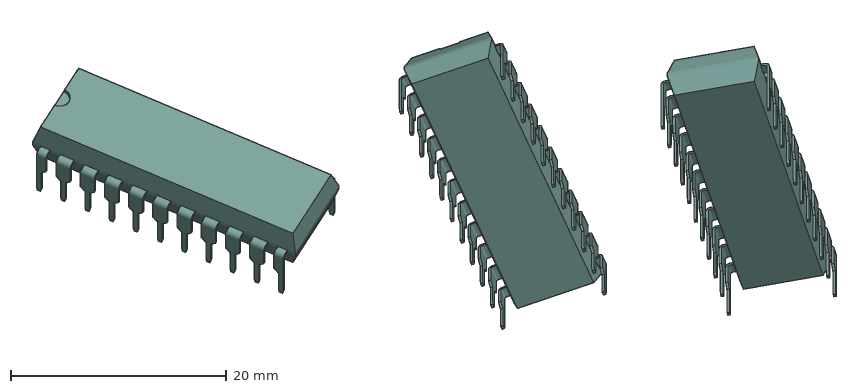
import cadquery as cq

body_length = 27.6
body_width = 8.75
body_height = 4.58
band_height = 0.41
draft_inset = 0.55

notch_radius = 1.0
notch_depth = 0.25
notch_draft = 15.0

leads_per_row = 11
lead_pitch = 2.55
row_span = 10.4
lead_thickness = 0.25
bend_inner_radius = 0.22
shoulder_width = 1.5
shank_width = 0.5
overall_height = 8.0
tip_width = 0.33
tip_length = 0.41
lead_embed = 0.28

body_top = body_height / 2
body_bottom = -body_height / 2
lead_top = lead_thickness / 2
lead_bottom = body_top - overall_height
bend_outer_radius = bend_inner_radius + lead_thickness
shoulder_half = shoulder_width / 2
shank_half = shank_width / 2
tip_half = tip_width / 2
shoulder_bottom = body_bottom
shank_top = shoulder_bottom - (shoulder_half - shank_half)
tip_top = lead_bottom + tip_length


def drafted_half(direction):
    """Tapered half of the body, from the parting band up (+1) or down (-1)."""
    half_height = (body_height - band_height) / 2
    return (
        cq.Workplane("XY")
        .workplane(offset=direction * band_height / 2)
        .rect(body_length, body_width)
        .workplane(offset=direction * half_height)
        .rect(body_length - 2 * draft_inset, body_width - 2 * draft_inset)
        .loft(ruled=True)
    )


def make_body():
    """Parting band with drafted halves and a shallow half-round notch at the -X end."""
    band = cq.Workplane("XY").box(body_length, body_width, band_height)
    notch_x = -body_length / 2 + draft_inset
    notch = (
        cq.Workplane("XY", origin=(notch_x, 0, body_top))
        .circle(notch_radius)
        .extrude(-notch_depth, taper=notch_draft)
    )
    return band.union(drafted_half(1)).union(drafted_half(-1)).cut(notch)


def make_bent_row():
    """Bent strip of lead metal on the -Y side, spanning the whole row."""
    outer_y = -row_span / 2
    inner_y = outer_y + lead_thickness
    bend_y = outer_y + bend_outer_radius
    bend_z = lead_top - bend_outer_radius
    root_y = -body_width / 2 + lead_embed
    return (
        cq.Workplane("YZ")
        .moveTo(root_y, lead_top)
        .lineTo(bend_y, lead_top)
        .radiusArc((outer_y, bend_z), -bend_outer_radius)
        .lineTo(outer_y, lead_bottom)
        .lineTo(inner_y, lead_bottom)
        .lineTo(inner_y, bend_z)
        .radiusArc((bend_y, -lead_top), bend_inner_radius)
        .lineTo(root_y, -lead_top)
        .close()
        .extrude(body_length / 2, both=True)
    )


def lead_silhouette(center_x, left_half, right_half):
    """Front outline of one lead, extruded across the full lead span."""
    outline = [
        (-left_half, lead_top),
        (-left_half, shoulder_bottom),
        (-shank_half, shank_top),
        (-shank_half, tip_top),
        (-tip_half, lead_bottom),
        (tip_half, lead_bottom),
        (shank_half, tip_top),
        (shank_half, shank_top),
        (right_half, shoulder_bottom),
        (right_half, lead_top),
    ]
    return (
        cq.Workplane("XZ", origin=(center_x, 0, 0))
        .polyline(outline)
        .close()
        .extrude(row_span, both=True)
    )


def make_lead_row():
    """Leads on the -Y side; the end leads have no shoulder on their outer edge."""
    strip = make_bent_row()
    row = cq.Workplane("XY")
    for index in range(leads_per_row):
        center_x = (index - (leads_per_row - 1) / 2) * lead_pitch
        left_half = shank_half if index == 0 else shoulder_half
        right_half = shank_half if index == leads_per_row - 1 else shoulder_half
        row = row.add(strip.intersect(lead_silhouette(center_x, left_half, right_half)))
    return row.combine()


front_row = make_lead_row()
back_row = front_row.mirror("XZ")
result = make_body().union(front_row).union(back_row)